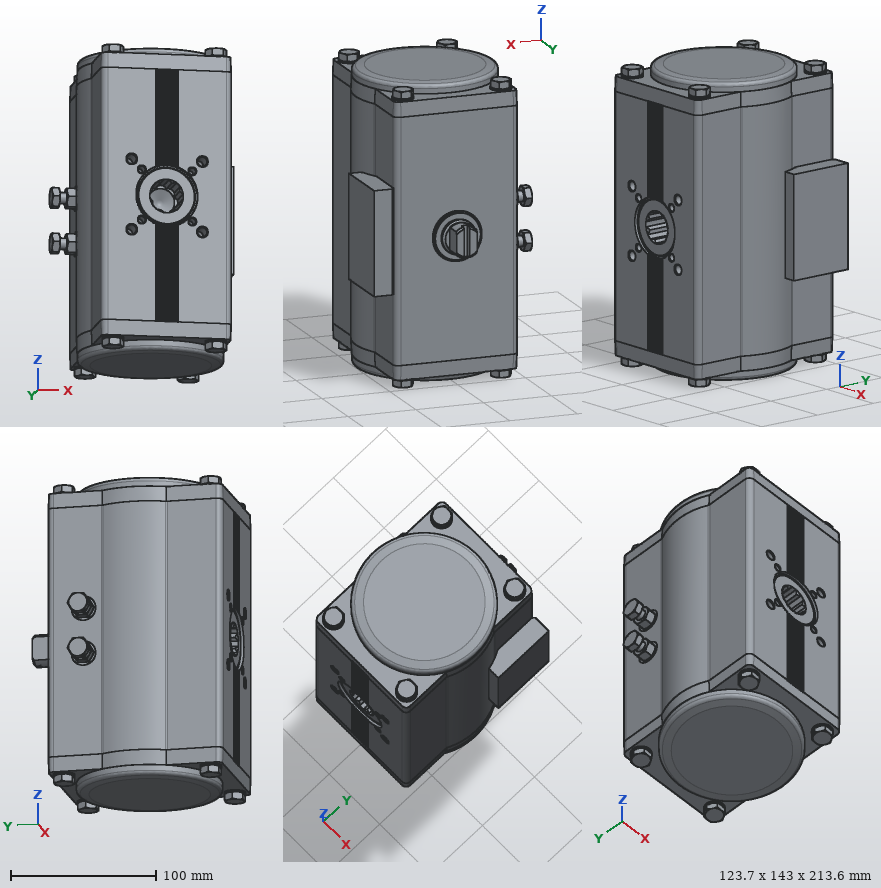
import cadquery as cq
import math


HALF_WIDTH = 45.7
HALF_DEPTH = 61.8
BARREL_RADIUS = 51.0
CORNER_RADIUS = 4.3
SEAM_RADIUS = 3.2
HOUSING_HALF_LENGTH = 88.7

SERRATION_COUNT = 10
SERRATION_PITCH = 1.65
SERRATION_DEPTH = 0.5

MOUNTING_HOLES = [(70.0, 6.6, 8.0, 15.0), (50.0, 5.0, 6.0, 10.7)]
THREAD_CHAMFER = 0.6
DRILL_TIP_ANGLE = 118

CAP_HALF_LENGTH = 106.8
PLATE_THICKNESS = 10.7
CAP_DRAFT = 2.5
DOME_RADIUS = 50.5
DOME_FLAT_RADIUS = 41.9
DOME_SLOPE_DROP = 1.0
DOME_EDGE_RADIUS = 2.8

HEX_FLATS = 13.0
HEX_CORNERS = HEX_FLATS / math.cos(math.pi / 6)
HEX_CHAMFER_ANGLE = 30
HEAD_HEIGHT = 5.3
CAP_WASHER_DIAMETER = 15.0
CAP_WASHER_THICKNESS = 1.0
CAP_BOLT_X = 36.1
CAP_BOLT_Y = 52.0

STOP_BOLT_Y = 36.0
STOP_BOLT_Z = [-16.0, 16.0]
STOP_BOLT_REACH = 63.0
STOP_SHANK_DIAMETER = 8.0
STOP_NUT_HEIGHT = 6.8
SPOT_FACE_DIAMETER = 17.0
SPOT_FACE_DEPTH = 0.2

PINION_DIAMETER = 40.4
PINION_CHAMFER = 0.6
PINION_FACE_DEPTH = 1.7
PINION_SHOULDER_Y = 42.7
RECESS_DIAMETER = 43.2
RECESS_DEPTH = 2.4
COLLAR_DIAMETER = 25.0
COLLAR_TOP_Y = 68.0
COLLAR_CHAMFER = 1.7
SHAFT_DIAMETER = 22.5
SHAFT_FLATS = 15.2
SHAFT_TOP_Y = 81.2
SHAFT_CHAMFER = 1.3
SLOT_WIDTH = 4.0
SLOT_DEPTH = 4.7
SOCKET_FLATS = 19.0
SOCKET_DIAMETER = 23.5
SOCKET_DEPTH = 21.4
SOCKET_CHAMFER_DEPTH = 2.5

THRUST_DIAMETER = 36.0
THRUST_THICKNESS = 1.3
THRUST_STEP_DIAMETER = 33.5
THRUST_STEP_THICKNESS = 1.0

BLOCK_OUTER_X = 60.7
BLOCK_HALF_LENGTH = 37.8
BLOCK_TOP_Y = 61.0
BLOCK_BOTTOM_Y = 12.5
BLOCK_CHAMFER = 1.7
BLOCK_ARC_RADIUS = 52.8


def y_cylinder(diameter, y_start, y_end):
    """Cylinder centred on the Y axis, between two Y positions."""
    disc = cq.Workplane("XZ", origin=(0, y_start, 0)).circle(diameter / 2)
    return disc.extrude(y_start - y_end)


def hexagon(height):
    """Hexagonal prism up Z from the origin, its corners on X, chamfered round both ends."""
    prism = cq.Workplane("XY").polygon(6, HEX_CORNERS).extrude(height)
    corner = HEX_CORNERS / 2
    flat = HEX_FLATS / 2
    drop = (corner - flat) * math.tan(math.radians(HEX_CHAMFER_ANGLE))
    envelope = (
        cq.Workplane("XY")
        .circle(corner)
        .extrude(height)
        .edges()
        .chamfer(drop, corner - flat)
    )
    return prism.intersect(envelope)


def drill(diameter, depth):
    """Drill shape along +Y from the origin, with a conical tip."""
    radius = diameter / 2
    tip = radius / math.tan(math.radians(DRILL_TIP_ANGLE / 2))
    outline = cq.Workplane("XY").polyline([(0, 0), (radius, 0), (radius, depth), (0, depth + tip)])
    return outline.close().revolve(360, (0, 0, 0), (0, 1, 0))


def rounded_box(length, draft=0.0):
    """Rectangular body block up Z with rounded corners."""
    block = cq.Workplane("XY").sketch().rect(2 * HALF_WIDTH, 2 * HALF_DEPTH)
    return block.vertices().fillet(CORNER_RADIUS).finalize().extrude(length, taper=draft)


def serrations():
    """Row of narrow grooves along Z, centred on the front face, as wide as the lands between."""
    first_x = -(SERRATION_COUNT - 1) * SERRATION_PITCH / 2
    centres = [(first_x + i * SERRATION_PITCH, -HALF_DEPTH) for i in range(SERRATION_COUNT)]
    strips = cq.Workplane("XY", origin=(0, 0, -HOUSING_HALF_LENGTH)).pushPoints(centres)
    return strips.rect(SERRATION_PITCH / 2, 2 * SERRATION_DEPTH).extrude(2 * HOUSING_HALF_LENGTH)


def tapered_mouth(mouth_diameter, inner_diameter, depth):
    """Cone frustum along +Y from the origin, narrowing with depth."""
    mouth = cq.Workplane("XZ").circle(mouth_diameter / 2)
    return mouth.workplane(offset=-depth).circle(inner_diameter / 2).loft()


def mounting_hole(drill_diameter, thread_diameter, depth):
    """Tapped hole with a conical tip and a chamfered mouth, entered along +Y."""
    mouth = tapered_mouth(thread_diameter, drill_diameter, THREAD_CHAMFER)
    return drill(drill_diameter, depth).union(mouth)


def make_housing():
    length = 2 * HOUSING_HALF_LENGTH
    barrel = cq.Workplane("XY").circle(BARREL_RADIUS).extrude(length)
    body = rounded_box(length).union(barrel)
    seam_y = math.sqrt(BARREL_RADIUS**2 - HALF_WIDTH**2)
    for side_x in (-HALF_WIDTH, HALF_WIDTH):
        for side_y in (-seam_y, seam_y):
            seam = cq.selectors.NearestToPointSelector((side_x, side_y, length / 2))
            body = body.edges(seam).fillet(SEAM_RADIUS)
    body = body.translate((0, 0, -HOUSING_HALF_LENGTH))
    body = body.cut(serrations())

    for circle, drill_diameter, thread_diameter, depth in MOUNTING_HOLES:
        hole = mounting_hole(drill_diameter, thread_diameter, depth)
        offset = circle / 2 / math.sqrt(2)
        for x in (-offset, offset):
            for z in (-offset, offset):
                body = body.cut(hole.translate((x, -HALF_DEPTH, z)))

    for z in STOP_BOLT_Z:
        spot = cq.Workplane("YZ", origin=(-HALF_WIDTH, STOP_BOLT_Y, z))
        body = body.cut(spot.circle(SPOT_FACE_DIAMETER / 2).extrude(SPOT_FACE_DEPTH))

    body = body.cut(y_cylinder(RECESS_DIAMETER, -HALF_DEPTH, -HALF_DEPTH + RECESS_DEPTH))
    body = body.cut(y_cylinder(PINION_DIAMETER, -HALF_DEPTH, PINION_SHOULDER_Y))
    return body.cut(y_cylinder(COLLAR_DIAMETER, PINION_SHOULDER_Y, HALF_DEPTH))


def make_upper_cap():
    """End cap with its four bolts, seated on the upper end of the housing."""
    height = CAP_HALF_LENGTH - HOUSING_HALF_LENGTH
    plate = rounded_box(PLATE_THICKNESS, CAP_DRAFT)
    barrel = cq.Workplane("XY").circle(BARREL_RADIUS).extrude(PLATE_THICKNESS, taper=CAP_DRAFT)
    dome = (
        cq.Workplane("XZ")
        .moveTo(0, 0)
        .lineTo(DOME_RADIUS, 0)
        .lineTo(DOME_RADIUS, height - DOME_SLOPE_DROP)
        .lineTo(DOME_FLAT_RADIUS, height)
        .lineTo(0, height)
        .close()
        .revolve(360, (0, 0, 0), (0, 1, 0))
    )
    dome = dome.faces("%CYLINDER").edges(">Z").fillet(DOME_EDGE_RADIUS)
    cap = plate.union(barrel).union(dome)

    washer = cq.Workplane("XY").circle(CAP_WASHER_DIAMETER / 2).extrude(CAP_WASHER_THICKNESS)
    bolt = washer.union(hexagon(HEAD_HEIGHT).translate((0, 0, CAP_WASHER_THICKNESS)))
    for x in (-CAP_BOLT_X, CAP_BOLT_X):
        for y in (-CAP_BOLT_Y, CAP_BOLT_Y):
            cap = cap.union(bolt.translate((x, y, PLATE_THICKNESS)))
    return cap.translate((0, 0, HOUSING_HALF_LENGTH))


def make_stop_bolt(z):
    """Stop bolt with its lock nut, standing on a spot face of the -X side."""
    seat_x = -HALF_WIDTH + SPOT_FACE_DEPTH
    reach = STOP_BOLT_REACH + seat_x
    nut = hexagon(STOP_NUT_HEIGHT + SPOT_FACE_DEPTH)
    shank = cq.Workplane("XY").circle(STOP_SHANK_DIAMETER / 2).extrude(reach - HEAD_HEIGHT)
    head = hexagon(HEAD_HEIGHT).translate((0, 0, reach - HEAD_HEIGHT))
    bolt = nut.union(shank).union(head)
    bolt = bolt.rotate((0, 0, 0), (0, 0, 1), 90).rotate((0, 0, 0), (0, 1, 0), -90)
    return bolt.translate((seat_x, STOP_BOLT_Y, z))


def make_socket():
    """Double-square socket: square corners cut off by a circle, a tapered mouth and a conical floor."""
    start = -HALF_DEPTH + PINION_FACE_DEPTH
    square = cq.Workplane("XZ", origin=(0, start, 0)).rect(SOCKET_FLATS, SOCKET_FLATS)
    square = square.extrude(-SOCKET_DEPTH)
    star = square.union(square.rotate((0, 0, 0), (0, 1, 0), 45))
    star = star.intersect(y_cylinder(SOCKET_DIAMETER, start, start + SOCKET_DEPTH))
    mouth = tapered_mouth(SOCKET_DIAMETER, SOCKET_FLATS, SOCKET_CHAMFER_DEPTH)
    core = drill(SOCKET_FLATS, SOCKET_DEPTH).union(mouth)
    return star.union(core.translate((0, start, 0)))


def make_pinion():
    start = -HALF_DEPTH + PINION_FACE_DEPTH
    pinion = y_cylinder(PINION_DIAMETER, start, PINION_SHOULDER_Y)
    pinion = pinion.faces("<Y").edges().chamfer(PINION_CHAMFER)
    collar = y_cylinder(COLLAR_DIAMETER, PINION_SHOULDER_Y, COLLAR_TOP_Y)
    collar = collar.faces(">Y").edges().chamfer(COLLAR_CHAMFER)
    shaft = y_cylinder(SHAFT_DIAMETER, COLLAR_TOP_Y, SHAFT_TOP_Y)
    shaft = shaft.faces(">Y").edges().chamfer(SHAFT_CHAMFER)
    flats = cq.Workplane("XY").box(SHAFT_FLATS, 2 * SHAFT_TOP_Y, SHAFT_DIAMETER)
    shaft = shaft.intersect(flats)
    slot = cq.Workplane("XY").box(SLOT_WIDTH, 2 * SLOT_DEPTH, SHAFT_DIAMETER)
    shaft = shaft.cut(slot.translate((0, SHAFT_TOP_Y, 0)))
    return pinion.union(collar).union(shaft).cut(make_socket())


def make_thrust_washer():
    step_y = HALF_DEPTH + THRUST_THICKNESS
    top_y = step_y + THRUST_STEP_THICKNESS
    washer = y_cylinder(THRUST_DIAMETER, HALF_DEPTH, step_y)
    washer = washer.union(y_cylinder(THRUST_STEP_DIAMETER, step_y, top_y))
    return washer.cut(y_cylinder(COLLAR_DIAMETER, HALF_DEPTH, top_y))


def make_valve_block():
    """Block on the +X face; its lower inner side is hollowed to clear the barrel."""
    length = 2 * BLOCK_HALF_LENGTH
    block = (
        cq.Workplane("XY", origin=(0, 0, -BLOCK_HALF_LENGTH))
        .moveTo(HALF_WIDTH, BLOCK_BOTTOM_Y)
        .lineTo(BLOCK_OUTER_X, BLOCK_BOTTOM_Y)
        .lineTo(BLOCK_OUTER_X, BLOCK_TOP_Y)
        .lineTo(HALF_WIDTH + BLOCK_CHAMFER, BLOCK_TOP_Y)
        .lineTo(HALF_WIDTH, BLOCK_TOP_Y - BLOCK_CHAMFER)
        .close()
        .extrude(length)
    )
    clearance = cq.Workplane("XY", origin=(0, 0, -BLOCK_HALF_LENGTH)).circle(BLOCK_ARC_RADIUS)
    return block.cut(clearance.extrude(length))


housing = make_housing()
upper_cap = make_upper_cap()
lower_cap = upper_cap.mirror("XY")
stop_bolts = [make_stop_bolt(z) for z in STOP_BOLT_Z]
pinion = make_pinion()
thrust_washer = make_thrust_washer()
valve_block = make_valve_block()

result = cq.Compound.makeCompound(
    [
        housing.val(),
        upper_cap.val(),
        lower_cap.val(),
        *[bolt.val() for bolt in stop_bolts],
        pinion.val(),
        thrust_washer.val(),
        valve_block.val(),
    ]
)